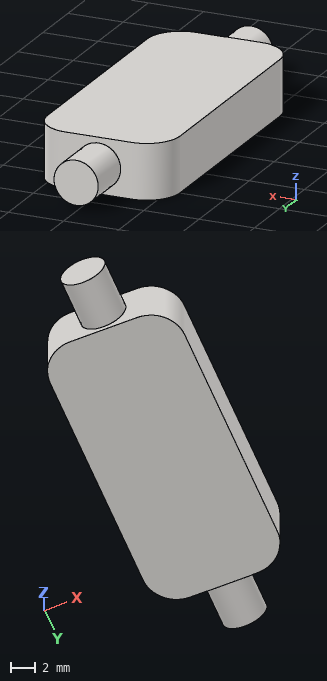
import cadquery as cq

overall_length = 35.0
body_width = 12.0
body_length = 26.0
body_height = 5.0
corner_radius = 3.0
pin_diameter = 4.0


def make_body():
    """Flat block with rounded vertical corners, centred on the origin."""
    block = cq.Workplane("XY").box(body_width, body_length, body_height)
    return block.edges("|Z").fillet(corner_radius)


def make_pin():
    """Round pin along Y that runs through the body and projects from both ends."""
    return cq.Workplane("XZ").circle(pin_diameter / 2).extrude(overall_length / 2, both=True)


result = make_body().union(make_pin())